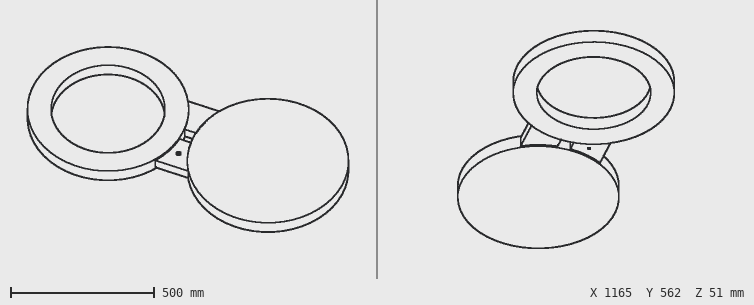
import cadquery as cq

overall_length = 1165.0
disc_diameter = 562.0
disc_thickness = 51.0
bore_diameter = 396.0

web_width = 291.0
web_slot_width = 47.0
web_thickness = 38.0

hole_diameter = 8.0
counterbore_diameter = 15.0
counterbore_depth = 5.0

disc_offset = (overall_length - disc_diameter) / 2
arm_width = (web_width - web_slot_width) / 2
arm_center_y = (web_slot_width + arm_width) / 2


def disc(x, diameter):
    """Full-thickness disc centred on the mid-plane Z = 0."""
    return cq.Workplane("XY").center(x, 0).circle(diameter / 2).extrude(disc_thickness / 2, both=True)


def web_arm(y):
    """Flat bar running from one disc centre to the other."""
    return cq.Workplane("XY").box(2 * disc_offset, arm_width, web_thickness).translate((0, y, 0))


def counterbored_hole():
    """Cutter for the through hole and its counterbore, sunk from the top of the -Y arm."""
    arm_top = cq.Workplane("XY", origin=(0, -arm_center_y, web_thickness / 2))
    through_hole = arm_top.circle(hole_diameter / 2).extrude(-web_thickness)
    counterbore = arm_top.circle(counterbore_diameter / 2).extrude(-counterbore_depth)
    return through_hole.union(counterbore)


web = web_arm(arm_center_y).union(web_arm(-arm_center_y))

ring_blank = disc(-disc_offset, disc_diameter)
solid_disc = disc(disc_offset, disc_diameter)
body = ring_blank.union(solid_disc).union(web)

bore = disc(-disc_offset, bore_diameter)

result = body.cut(bore).cut(counterbored_hole())